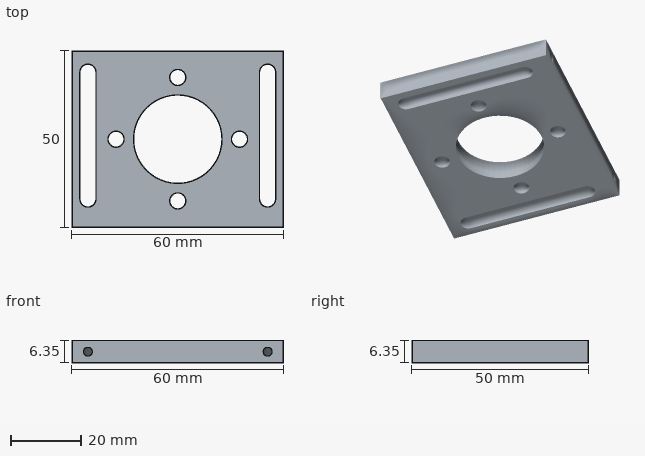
import cadquery as cq

length = 60.0
width = 50.0
thickness = 6.35

bore_diameter = 25.0
bolt_hole_diameter = 4.5
bolt_circle_radius = 17.5
bolt_hole_count = 4

slot_offset_x = 25.5
slot_width = 4.5
slot_length = 40.5
slot_center_y = 1.0

screw_hole_diameter = 2.5
front_y = -width / 2
slot_front_y = slot_center_y - slot_length / 2
screw_hole_depth = slot_front_y + slot_width / 2 - front_y

slot_positions = [(side * slot_offset_x, slot_center_y) for side in (-1, 1)]


def make_plate():
    return cq.Workplane("XY").box(length, width, thickness, centered=(True, True, False))


def make_bore():
    return cq.Workplane("XY").circle(bore_diameter / 2).extrude(thickness)


def make_bolt_holes():
    return (
        cq.Workplane("XY")
        .polarArray(bolt_circle_radius, 0, 360, bolt_hole_count)
        .circle(bolt_hole_diameter / 2)
        .extrude(thickness)
    )


def make_slots():
    return (
        cq.Workplane("XY")
        .pushPoints(slot_positions)
        .slot2D(slot_length, slot_width, 90)
        .extrude(thickness)
    )


def make_screw_holes():
    return (
        cq.Workplane("XZ", origin=(0, front_y, thickness / 2))
        .pushPoints([(-slot_offset_x, 0), (slot_offset_x, 0)])
        .circle(screw_hole_diameter / 2)
        .extrude(-screw_hole_depth)
    )


result = (
    make_plate()
    .cut(make_bore())
    .cut(make_bolt_holes())
    .cut(make_slots())
    .cut(make_screw_holes())
)